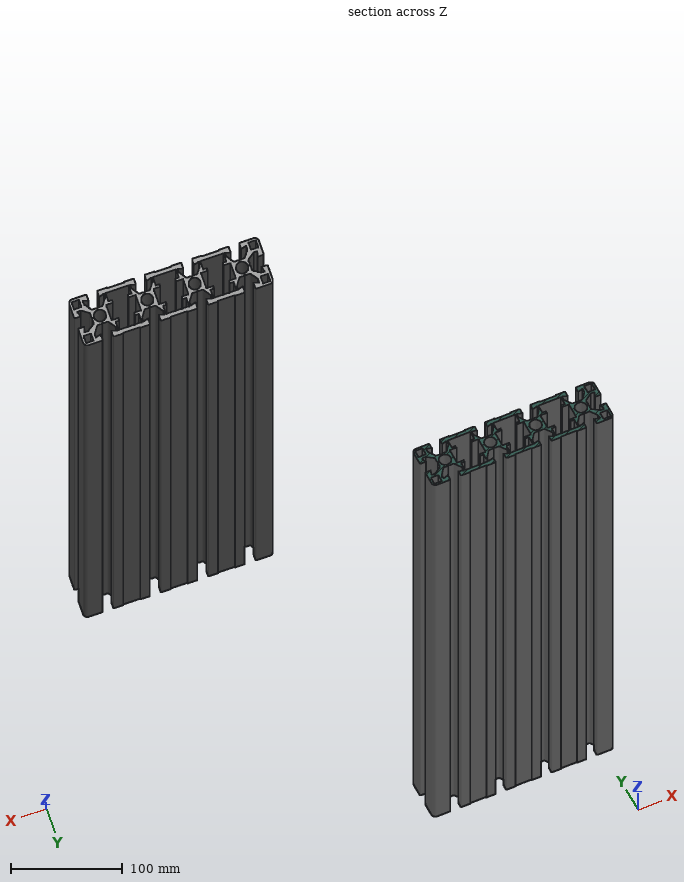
import cadquery as cq
import math

length = 1000.0
pitch = 45.0
cell_count = 4
corner_radius = 4.0
bore_diameter = 11.0

mouth_half = 5.0
mouth_round = 1.1
lip_tip = 6.0
lip_root = 4.5
slot_half = 10.0
shoulder_depth = 8.0
floor_depth = 15.0
floor_half = 5.0
floor_round = 2.0
floor_slope = math.radians(3.5)
groove_half = 0.9
groove_round = 0.5

corner_void = 7.0
corner_wall = 2.5

cavity_wall = lip_root
cavity_half = 11.0
foot_half = 7.5
foot_outer = 10.0
foot_inner = 7.5
waist_half = 14.0

relief_half = 8.0
relief_depth = 0.6

width = cell_count * pitch
half_width = width / 2
half_depth = pitch / 2
cell_centers = [(i + 0.5) * pitch - half_width for i in range(cell_count)]
cell_borders = [i * pitch - half_width for i in range(1, cell_count)]
sides = (-1, 1)


def prism(points):
    """Extrude a closed outline over the full length."""
    return cq.Workplane("XY").polyline(points).close().extrude(length)


def block(size_x, size_y):
    """Full-length rectangular bar centered on the Z axis."""
    return cq.Workplane("XY").rect(size_x, size_y).extrude(length)


def mirrored(points):
    """The same points mirrored across the Y axis, in reverse order."""
    return [(-x, y) for x, y in reversed(points)]


def round_edges(body, corners, radius):
    """Round the lengthwise edges that stand on the given (x, y) corners."""
    for x, y in corners:
        edge = cq.selectors.NearestToPointSelector((x, y, length / 2))
        body = body.edges("|Z").edges(edge).fillet(radius)
    return body


def slot():
    """T-slot entering from +Y, with its mouth at y = 0."""
    ridge_depth = floor_depth - (floor_half - groove_half) * math.tan(floor_slope)
    right_side = [
        (mouth_half, 0),
        (mouth_half, -lip_tip),
        (slot_half, -lip_root),
        (slot_half, -shoulder_depth),
        (floor_half, -floor_depth),
        (groove_half, -ridge_depth),
    ]
    groove_bottom = (0, -ridge_depth - groove_half)
    body = prism(right_side + [groove_bottom] + mirrored(right_side))
    body = round_edges(body, [(side * groove_half, -ridge_depth) for side in sides], groove_round)
    return round_edges(body, [(side * floor_half, -floor_depth) for side in sides], floor_round)


def cavity():
    """Void between two cells, narrowed by the feet of the slot walls."""
    upper = [
        (cavity_half, half_depth - cavity_wall),
        (cavity_half, foot_outer),
        (foot_half, foot_outer),
        (foot_half, foot_inner),
        (waist_half, foot_inner),
    ]
    lower = [(x, -y) for x, y in reversed(upper)]
    right_side = upper + lower
    return prism(right_side + mirrored(right_side))


result = block(width, pitch).edges("|Z").fillet(corner_radius)

bore = cq.Workplane("XY").circle(bore_diameter / 2).extrude(length)
upper_slot = slot().translate((0, half_depth, 0))
lower_slot = upper_slot.mirror("XZ")
for x in cell_centers:
    for cutter in (bore, upper_slot, lower_slot):
        result = result.cut(cutter.translate((x, 0, 0)))

right_slot = slot().rotate((0, 0, 0), (0, 0, 1), -90).translate((half_width, 0, 0))
result = result.cut(right_slot).cut(right_slot.mirror("YZ"))

for side in sides:
    for mouth_side in (-mouth_half, mouth_half):
        mouth_corners = [(x + mouth_side, side * half_depth) for x in cell_centers]
        mouth_corners.append((side * half_width, mouth_side))
        result = round_edges(result, mouth_corners, mouth_round)

between_cells = cavity()
relief = block(2 * relief_half, 2 * relief_depth)
for x in cell_borders:
    result = result.cut(between_cells.translate((x, 0, 0)))
    for side in sides:
        result = result.cut(relief.translate((x, side * half_depth, 0)))

void = block(corner_void, corner_void)
void_inset = corner_wall + corner_void / 2
for side_x in sides:
    for side_y in sides:
        center = (side_x * (half_width - void_inset), side_y * (half_depth - void_inset), 0)
        result = result.cut(void.translate(center))